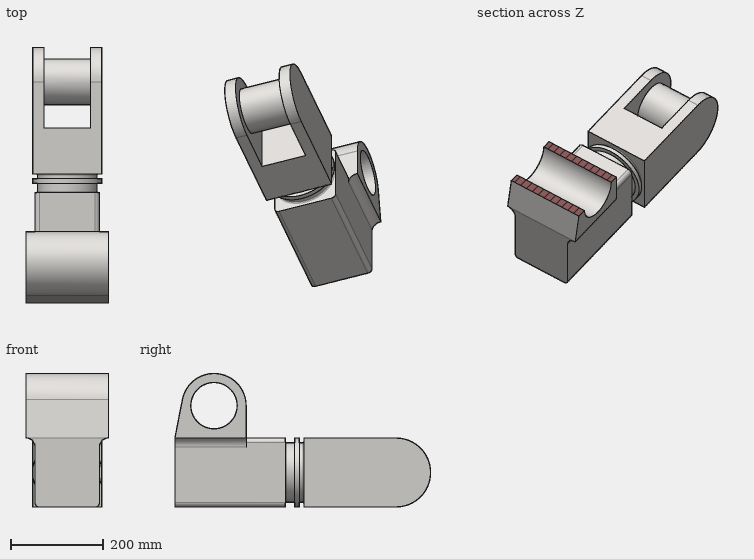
import cadquery as cq
import math


fork_width = 150.0
fork_height = 150.0
fork_length = 275.0
prong_thickness = 25.0
slot_depth = 175.0
pin_diameter = 100.0

neck_length = 40.0
neck_diameter = 130.0
flange_diameter = 150.0
flange_thickness = 10.0
flange_gap = 10.0
neck_end_fillet = 2.0

block_width = 140.0
block_height = 150.0
block_length = 240.0
block_edge_radius = 10.0

lug_width = 180.0
lug_radius = 70.0
lug_bore_diameter = 100.0
lug_axis_height = 70.0
lug_axis_setback = 85.0

fork_tip_y = fork_height / 2
fork_base_y = fork_tip_y - fork_length
block_back_y = fork_base_y - neck_length
block_front_y = block_back_y - block_length
lug_axis_y = block_front_y + lug_axis_setback
lug_back_y = lug_axis_y + lug_radius
block_top_z = block_height / 2
lug_axis_z = block_top_z + lug_axis_height


def cylinder_along_y(diameter, start_y, length):
    """Cylinder on the long axis, running from start_y towards +Y."""
    base = cq.Workplane("XZ", origin=(0, start_y, 0))
    return base.circle(diameter / 2).extrude(-length)


def box_along_y(width, height, start_y, length):
    """Box on the long axis, running from start_y towards +Y."""
    base = cq.Workplane("XZ", origin=(0, start_y, 0))
    return base.rect(width, height).extrude(-length)


def cylinder_along_x(diameter, length, y, z):
    """Cylinder across the part, centred on X = 0."""
    base = cq.Workplane("YZ", origin=(-length / 2, y, z))
    return base.circle(diameter / 2).extrude(length)


def make_fork():
    body = box_along_y(fork_width, fork_height, fork_base_y, -fork_base_y)
    body = body.union(cylinder_along_x(fork_height, fork_width, 0, 0))
    slot_width = fork_width - 2 * prong_thickness
    slot = box_along_y(slot_width, fork_height, fork_tip_y - slot_depth, slot_depth)
    pin = cylinder_along_x(pin_diameter, slot_width, 0, 0)
    return body.cut(slot).union(pin)


def make_neck():
    """Turned neck: a cylinder that flares in a small concave fillet at both ends, with a flange."""
    radius = neck_diameter / 2
    flare_radius = radius + neck_end_fillet
    profile = (
        cq.Workplane("XY")
        .moveTo(0, block_back_y)
        .lineTo(flare_radius, block_back_y)
        .radiusArc((radius, block_back_y + neck_end_fillet), neck_end_fillet)
        .lineTo(radius, fork_base_y - neck_end_fillet)
        .radiusArc((flare_radius, fork_base_y), neck_end_fillet)
        .lineTo(0, fork_base_y)
        .close()
    )
    neck = profile.revolve(360, (0, 0, 0), (0, 1, 0))
    flange_y = fork_base_y - flange_gap - flange_thickness
    return neck.union(cylinder_along_y(flange_diameter, flange_y, flange_thickness))


def make_block():
    block = box_along_y(block_width, block_height, block_front_y, block_length)
    return block.edges("|Y").fillet(block_edge_radius)


def make_lug():
    edge_distance = math.hypot(lug_axis_setback, lug_axis_height)
    edge_angle = math.atan2(lug_axis_height, lug_axis_setback)
    slope = math.acos(lug_radius / edge_distance) - edge_angle
    tangent_y = lug_axis_y - lug_radius * math.cos(slope)
    tangent_z = lug_axis_z + lug_radius * math.sin(slope)
    outline = (
        cq.Workplane("YZ", origin=(-lug_width / 2, 0, 0))
        .moveTo(lug_back_y, block_top_z)
        .lineTo(lug_back_y, lug_axis_z)
        .radiusArc((tangent_y, tangent_z), -lug_radius)
        .lineTo(block_front_y, block_top_z)
        .close()
    )
    lug = outline.extrude(lug_width)
    return lug.cut(cylinder_along_x(lug_bore_diameter, lug_width, lug_axis_y, lug_axis_z))


def make_saddle():
    """Saddle under the lug: flares in a concave arc from the block sides to the lug edges."""
    flare = (lug_width - block_width) / 2
    half_block = block_width / 2
    half_lug = lug_width / 2
    arc_z = block_top_z - flare
    diagonal = flare * math.sqrt(0.5)
    arc_middle_x = half_lug - diagonal
    arc_middle_z = arc_z + diagonal
    outline = (
        cq.Workplane("XZ", origin=(0, block_front_y, 0))
        .moveTo(-half_lug, block_top_z)
        .lineTo(half_lug, block_top_z)
        .threePointArc((arc_middle_x, arc_middle_z), (half_block, arc_z))
        .lineTo(-half_block, arc_z)
        .threePointArc((-arc_middle_x, arc_middle_z), (-half_lug, block_top_z))
        .close()
    )
    return outline.extrude(-(lug_back_y - block_front_y))


result = (
    make_fork()
    .union(make_neck())
    .union(make_block())
    .union(make_saddle())
    .union(make_lug())
)